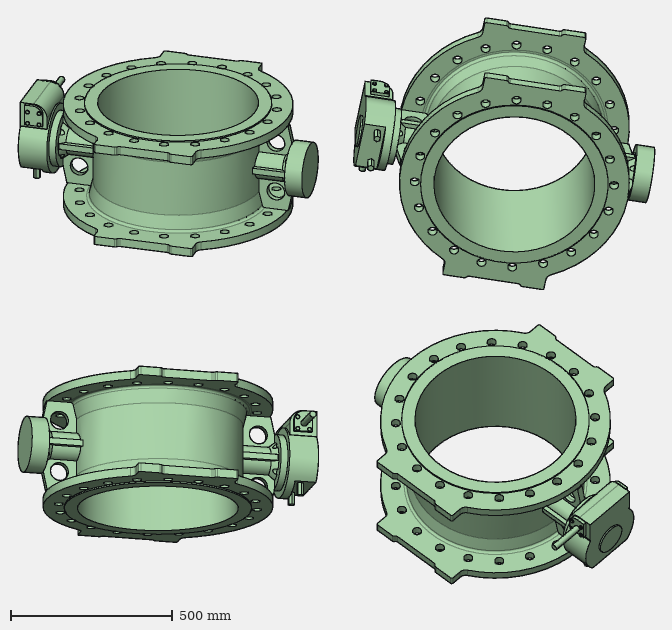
import cadquery as cq
import math

bore_diameter = 500.0
body_half_height = 175.0
barrel_radius = 265.0
barrel_half_height = 90.0
cone_end_radius = 276.0
cone_end_height = 134.0
root_radius = 284.0

flange_radius = 357.0
flange_thickness = 28.0
raised_face_diameter = 582.0
raised_face_height = 5.0
bolt_circle_diameter = 619.0
bolt_hole_diameter = 28.0
bolt_hole_count = 20

foot_half_width = 319.0 / 2
foot_reach = 742.0 / 2
foot_relief_depth = 8.0
foot_relief_half_width = 85.0
foot_relief_round = 7.8
foot_root_fillet = 23.0
foot_corner_fillet = 5.5

shaft_offset = 3.0
support_reach = 372.0
web_thickness = 20.0
web_flange_reach = 360.0
lifting_hole_diameter = 57.0
lifting_hole_x = 639.0 / 2
lifting_hole_z = 83.0
hub_radius = 46.0
hub_flare_start = 351.0
hub_flare_radius = 62.0
flare_hole_diameter = 18.0
flare_hole_circle = 121.0
flare_hole_count = 4
rib_half_width = 60.0
rib_thickness = 19.0
end_disk_diameter = 175.0
right_end = 428.0

left_end = right_end - 920.0
cap_diameter = 98.0
cap_height = 5.5
gearbox_left = left_end + cap_height
gearbox_right = -394.0
gearbox_diameter = 220.0
gearbox_flange_left = -419.5
gearbox_floor = -77.0
worm_block_right = -399.0
worm_block_half_width = 90.0
worm_block_bottom = 67.0
worm_block_top = 148.0
worm_block_round = 43.0

cover_left = -469.0
cover_right = -411.0
cover_bottom = 79.0
cover_top = 145.0
cover_thickness = 10.0
cover_screw_diameter = 12.0
cover_screw_height = 4.0
cover_screw_x = (-459.0, -421.0)
cover_screw_z = (86.0, 123.0)

input_shaft_diameter = 20.0
input_shaft_x = worm_block_right - worm_block_round
input_shaft_z = worm_block_top - worm_block_round
input_shaft_end = 209.0
stop_screw_width = 21.0
stop_screw_spacing = 110.0
stop_screw_bottom = -116.0

flange_outer = body_half_height - raised_face_height
flange_inner = flange_outer - flange_thickness


def shaft_cylinder(x_start, x_end, radius):
    """Cylinder on the shaft axis between two X positions."""
    plane = cq.Workplane("YZ", origin=(x_start, shaft_offset, 0))
    return plane.circle(radius).extrude(x_end - x_start)


def box_between(x_range, y_range, z_range):
    """Box given by its limits along each axis."""
    size = [high - low for low, high in (x_range, y_range, z_range)]
    corner = (x_range[0], y_range[0], z_range[0])
    return cq.Workplane("XY").box(*size, centered=False).translate(corner)


def make_barrel():
    """Revolved wall that flares towards both flanges."""
    face_radius = raised_face_diameter / 2
    fillet_run = root_radius - cone_end_radius
    fillet_rise = flange_inner - cone_end_height
    middle_radius = root_radius - fillet_run * math.cos(math.radians(45))
    middle_height = cone_end_height + fillet_rise * math.sin(math.radians(45))
    outline = (
        cq.Workplane("XZ")
        .moveTo(0, -body_half_height)
        .lineTo(face_radius, -body_half_height)
        .lineTo(face_radius, -flange_inner)
        .lineTo(root_radius, -flange_inner)
        .threePointArc((middle_radius, -middle_height), (cone_end_radius, -cone_end_height))
        .lineTo(barrel_radius, -barrel_half_height)
        .lineTo(barrel_radius, barrel_half_height)
        .lineTo(cone_end_radius, cone_end_height)
        .threePointArc((middle_radius, middle_height), (root_radius, flange_inner))
        .lineTo(face_radius, flange_inner)
        .lineTo(face_radius, body_half_height)
        .lineTo(0, body_half_height)
        .close()
    )
    return outline.revolve(360, (0, 0), (0, 1))


def make_flange():
    """Round flange with a relieved foot at +Y and -Y, resting on Z = 0."""
    feet = cq.Workplane("XY").rect(2 * foot_half_width, 2 * foot_reach).extrude(flange_thickness)
    feet = feet.edges("|Z").fillet(foot_corner_fillet)
    flange = cq.Workplane("XY").circle(flange_radius).extrude(flange_thickness).union(feet)

    root_y = math.sqrt(flange_radius**2 - foot_half_width**2)
    for x in (-foot_half_width, foot_half_width):
        for y in (-root_y, root_y):
            corner = cq.selectors.NearestToPointSelector((x, y, flange_thickness / 2))
            flange = flange.edges("|Z").edges(corner).fillet(foot_root_fillet)

    relief_top = foot_relief_half_width + foot_relief_depth / 2
    relief_floor = foot_relief_half_width - foot_relief_depth / 2
    relief_floor_y = foot_reach - foot_relief_depth
    relief_outline = [
        (-relief_top, foot_reach),
        (-relief_floor, relief_floor_y),
        (relief_floor, relief_floor_y),
        (relief_top, foot_reach),
    ]
    relief = cq.Workplane("XY").polyline(relief_outline).close().extrude(flange_thickness)
    flange = flange.cut(relief).cut(relief.mirror("XZ"))
    for x, y in relief_outline:
        for side in (-1, 1):
            corner = cq.selectors.NearestToPointSelector((x, side * y, flange_thickness / 2))
            flange = flange.edges("|Z").edges(corner).fillet(foot_relief_round)

    first_angle = 180 / bolt_hole_count
    holes = (
        cq.Workplane("XY")
        .polarArray(bolt_circle_diameter / 2, first_angle, 360, bolt_hole_count)
        .circle(bolt_hole_diameter / 2)
        .extrude(flange_thickness)
    )
    return flange.cut(holes)


def make_support():
    """Shaft support on the +X side: upright web, level rib and flared hub."""
    web_outline = [
        (0, -flange_inner),
        (web_flange_reach, -flange_inner),
        (support_reach, -end_disk_diameter / 2),
        (support_reach, end_disk_diameter / 2),
        (web_flange_reach, flange_inner),
        (0, flange_inner),
    ]
    web_plane = cq.Workplane("XZ", origin=(0, shaft_offset, 0))
    web = web_plane.polyline(web_outline).close().extrude(web_thickness / 2, both=True)
    lifting_holes = (
        web_plane.pushPoints([(lifting_hole_x, -lifting_hole_z), (lifting_hole_x, lifting_hole_z)])
        .circle(lifting_hole_diameter / 2)
        .extrude(web_thickness, both=True)
    )
    rib = box_between(
        (0, support_reach),
        (shaft_offset - rib_half_width, shaft_offset + rib_half_width),
        (-rib_thickness / 2, rib_thickness / 2),
    )
    hub_outline = [
        (0, 0),
        (0, hub_radius),
        (hub_flare_start, hub_radius),
        (support_reach, hub_flare_radius),
        (support_reach, 0),
    ]
    hub_plane = cq.Workplane("XY", origin=(0, shaft_offset, 0))
    hub = hub_plane.polyline(hub_outline).close().revolve(360, (0, 0), (1, 0))
    support = web.cut(lifting_holes).union(rib).union(hub)

    flare_holes = (
        cq.Workplane("YZ", origin=(hub_flare_start, shaft_offset, 0))
        .polarArray(flare_hole_circle / 2, 180 / flare_hole_count, 360, flare_hole_count)
        .circle(flare_hole_diameter / 2)
        .extrude(support_reach - hub_flare_start)
    )
    return support.cut(flare_holes)


def make_worm_block():
    """Upper block of the gearbox, rounded along its inner top edge."""
    block = box_between(
        (gearbox_left, worm_block_right),
        (-worm_block_half_width, worm_block_half_width),
        (worm_block_bottom, worm_block_top),
    )
    block = block.edges(">X and >Z").fillet(worm_block_round)
    return block.translate((0, shaft_offset, 0))


def make_cover(side):
    """Screwed cover on one side of the worm block; side is +1 or -1 along Y."""
    inner = worm_block_half_width
    outer = inner + cover_thickness
    cover = box_between((cover_left, cover_right), (inner, outer), (cover_bottom, cover_top))
    corner_round = cover_right - input_shaft_x
    cover = cover.edges(">X and >Z").fillet(corner_round)
    screws = (
        cq.Workplane("XZ", origin=(0, outer, 0))
        .pushPoints([(x, z) for x in cover_screw_x for z in cover_screw_z])
        .circle(cover_screw_diameter / 2)
        .extrude(-cover_screw_height)
    )
    cover = cover.union(screws)
    if side < 0:
        cover = cover.mirror("XZ")
    return cover.translate((0, shaft_offset, 0))


def make_gearbox():
    """Gearbox housing with cap, worm block, covers, input shaft and stop screws."""
    radius = gearbox_diameter / 2
    gearbox = shaft_cylinder(gearbox_left, gearbox_right, radius)
    gearbox = gearbox.cut(
        box_between(
            (gearbox_left, gearbox_flange_left),
            (-gearbox_diameter, gearbox_diameter),
            (-gearbox_diameter, gearbox_floor),
        )
    )
    gearbox = gearbox.union(shaft_cylinder(left_end, gearbox_left, cap_diameter / 2))
    gearbox = gearbox.union(make_worm_block())
    for side in (-1, 1):
        gearbox = gearbox.union(make_cover(side))

    input_shaft = (
        cq.Workplane("XZ", origin=(input_shaft_x, 0, input_shaft_z))
        .circle(input_shaft_diameter / 2)
        .extrude(-input_shaft_end)
    )
    stop_screws = (
        cq.Workplane("XY", origin=(input_shaft_x, shaft_offset, stop_screw_bottom))
        .transformed(rotate=(0, 0, 90))
        .pushPoints([(-stop_screw_spacing / 2, 0), (stop_screw_spacing / 2, 0)])
        .polygon(6, stop_screw_width)
        .extrude(-stop_screw_bottom)
    )
    return gearbox.union(input_shaft).union(stop_screws)


support = make_support()
flange = make_flange()
body = make_barrel().union(support).union(support.mirror("YZ"))
body = body.union(flange.translate((0, 0, flange_inner)))
body = body.union(flange.translate((0, 0, -flange_outer)))
bore_plane = cq.Workplane("XY", origin=(0, 0, -body_half_height))
bore = bore_plane.circle(bore_diameter / 2).extrude(2 * body_half_height)
body = body.cut(bore)

right_disk = shaft_cylinder(support_reach, right_end, end_disk_diameter / 2)
mounting_disk = shaft_cylinder(gearbox_right, -support_reach, end_disk_diameter / 2)
result = body.union(right_disk).union(mounting_disk).union(make_gearbox())